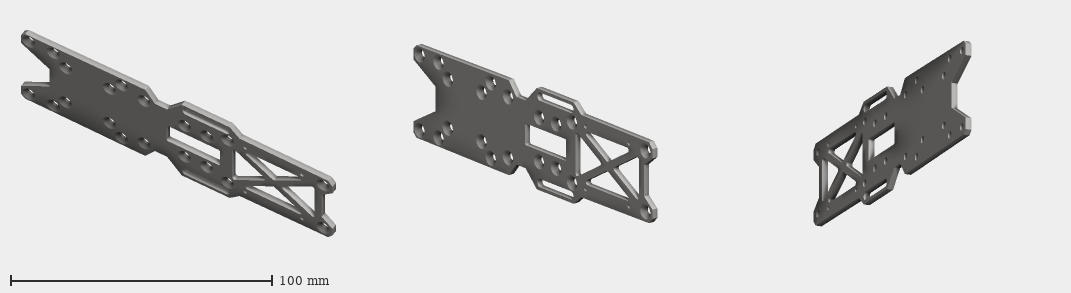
import cadquery as cq
import math

LENGTH = 140.5
HEIGHT = 41.2
THICKNESS = 2.5
HALF_LENGTH = LENGTH / 2
HALF_HEIGHT = HEIGHT / 2

TAIL_NOTCH = [(-57.5, 5.0), (-HALF_LENGTH, 12.5)]
TAIL_EDGE = [(-HALF_LENGTH, 17.1), (-68.4, 18.8), (-63.6, 18.8), (-19.7, 19.2), (-14.2, 19.2)]
WAIST = [(-9.8, 13.8), (-4.4, 13.8)]
WING = [(2.2, HALF_HEIGHT), (23.9, HALF_HEIGHT)]
NOSE_EDGE = [(28.4, 16.7), (68.3, 16.5), (HALF_LENGTH, 14.2)]
NOSE_NOTCH = [(HALF_LENGTH, 10.4), (65.3, 6.3)]
UPPER_OUTLINE = TAIL_NOTCH + TAIL_EDGE + WAIST + WING + NOSE_EDGE + NOSE_NOTCH

SCREW_DIAMETER = 3.0
COUNTERSINK_DIAMETER = 6.0
COUNTERSINK_ANGLE = 90.0
SCREW_HOLES = [
    (-66.7, 15.3), (-55.6, 15.3), (-50.1, 10.0), (-30.3, 10.0), (-24.9, 15.3),
    (-14.7, 12.4), (3.5, 9.0), (13.5, 9.0), (22.9, 12.4), (66.0, 12.4),
]

PIN_DIAMETER = 1.7
PIN_OFFSET_X = 12.8
PIN_Z = 12.8

WINDOW_LEFT = -4.6
WINDOW_RIGHT = 19.5
WINDOW_HEIGHT = 8.8
WINDOW_RADIUS = 0.7

SLOT_LEFT = 2.5
SLOT_RIGHT = 23.9
SLOT_WIDTH = 3.4
SLOT_Z = 17.5

FRAME_CENTER_X = 43.7
FRAME_LEFT = 25.0
FRAME_RIGHT = 62.2
FRAME_HALF_HEIGHT = 10.8
BRACE_WIDTH = 3.0
BRACE_ANGLE = 31.0
FRAME_RADIUS = 1.0


def front_sketch():
    """Workplane on the front face, at Y = 0."""
    return cq.Workplane("XZ")


def through_thickness(sketch):
    """Extrude a closed profile back through the whole plate thickness."""
    return sketch.extrude(-THICKNESS)


def mirrored(points):
    """Each point together with its image across the centre line."""
    return [(x, side * z) for x, z in points for side in (1, -1)]


def plate():
    lower_outline = [(x, -z) for x, z in reversed(UPPER_OUTLINE)]
    outline = UPPER_OUTLINE + lower_outline
    return through_thickness(front_sketch().polyline(outline).close())


def window():
    width = WINDOW_RIGHT - WINDOW_LEFT
    middle = (WINDOW_RIGHT + WINDOW_LEFT) / 2
    block = through_thickness(front_sketch().center(middle, 0).rect(width, WINDOW_HEIGHT))
    return block.edges("|Y").fillet(WINDOW_RADIUS)


def strap_slots():
    length = SLOT_RIGHT - SLOT_LEFT
    middle = (SLOT_RIGHT + SLOT_LEFT) / 2
    centers = mirrored([(middle, SLOT_Z)])
    return through_thickness(front_sketch().pushPoints(centers).slot2D(length, SLOT_WIDTH))


def frame_triangle(corners):
    block = through_thickness(front_sketch().polyline(corners).close())
    return block.edges("|Y").fillet(FRAME_RADIUS)


def frame_openings():
    """The four rounded triangles left between the crossing braces and the frame."""
    slope = math.tan(math.radians(BRACE_ANGLE))
    rise = BRACE_WIDTH / 2 / math.cos(math.radians(BRACE_ANGLE))
    run = rise / slope
    openings = []
    for side, edge in ((-1, FRAME_LEFT), (1, FRAME_RIGHT)):
        apex_x = FRAME_CENTER_X + side * run
        corner_z = slope * abs(edge - apex_x)
        openings.append(frame_triangle([(apex_x, 0), (edge, corner_z), (edge, -corner_z)]))
    half_width = (FRAME_HALF_HEIGHT - rise) / slope
    for side in (1, -1):
        edge_z = side * FRAME_HALF_HEIGHT
        openings.append(frame_triangle([
            (FRAME_CENTER_X, side * rise),
            (FRAME_CENTER_X + half_width, edge_z),
            (FRAME_CENTER_X - half_width, edge_z),
        ]))
    return openings


result = plate()
for opening in [window(), strap_slots()] + frame_openings():
    result = result.cut(opening)

pin_holes = mirrored([(FRAME_CENTER_X + side * PIN_OFFSET_X, PIN_Z) for side in (-1, 1)])
result = result.cut(through_thickness(front_sketch().pushPoints(pin_holes).circle(PIN_DIAMETER / 2)))

result = (
    result.faces("<Y").workplane(origin=(0, 0, 0))
    .pushPoints(mirrored(SCREW_HOLES))
    .cskHole(SCREW_DIAMETER, COUNTERSINK_DIAMETER, COUNTERSINK_ANGLE)
)